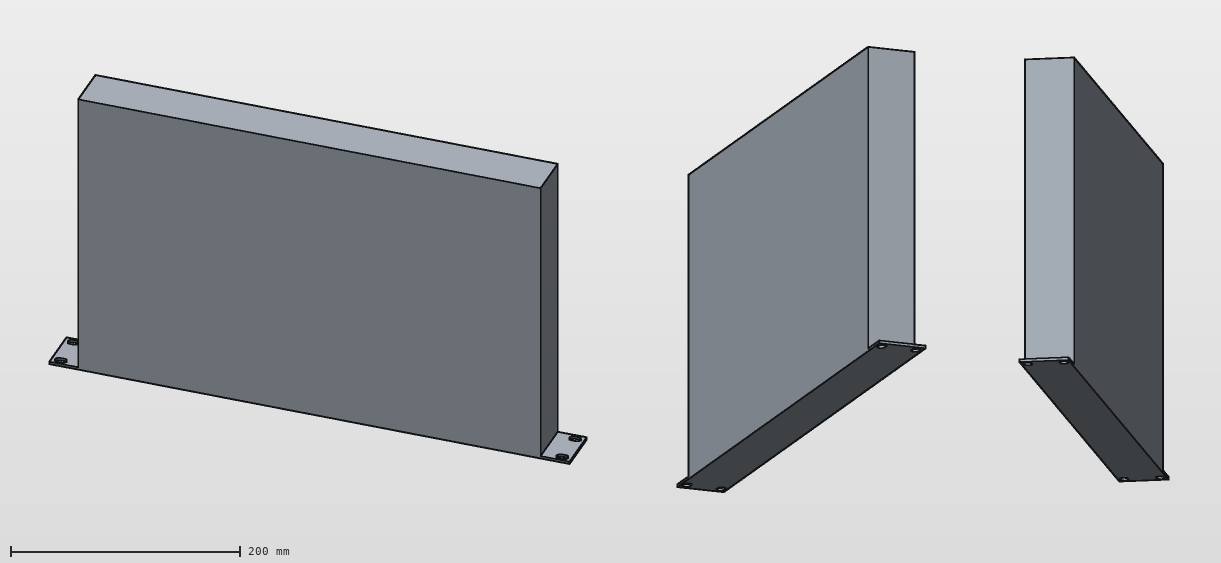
import cadquery as cq

overall_width = 482.5
overall_depth = 43.5
overall_height = 276.0

body_width = 429.0

ear_thickness = 2.5

slot_length = 10.5
slot_width = 6.8
slot_spacing_x = 465.0
slot_spacing_y = 32.0


def make_body():
    """Plain box over the full height."""
    return cq.Workplane("XY").box(body_width, overall_depth, overall_height, centered=(True, True, False))


def make_ear_plate():
    """Bottom plate reaching past the body on both sides, with an obround slot near each corner."""
    plate = cq.Workplane("XY").box(overall_width, overall_depth, ear_thickness, centered=(True, True, False))
    slots = (
        cq.Workplane("XY")
        .rect(slot_spacing_x, slot_spacing_y, forConstruction=True)
        .vertices()
        .slot2D(slot_length, slot_width)
        .extrude(ear_thickness)
    )
    return plate.cut(slots)


result = make_body().union(make_ear_plate()).clean()